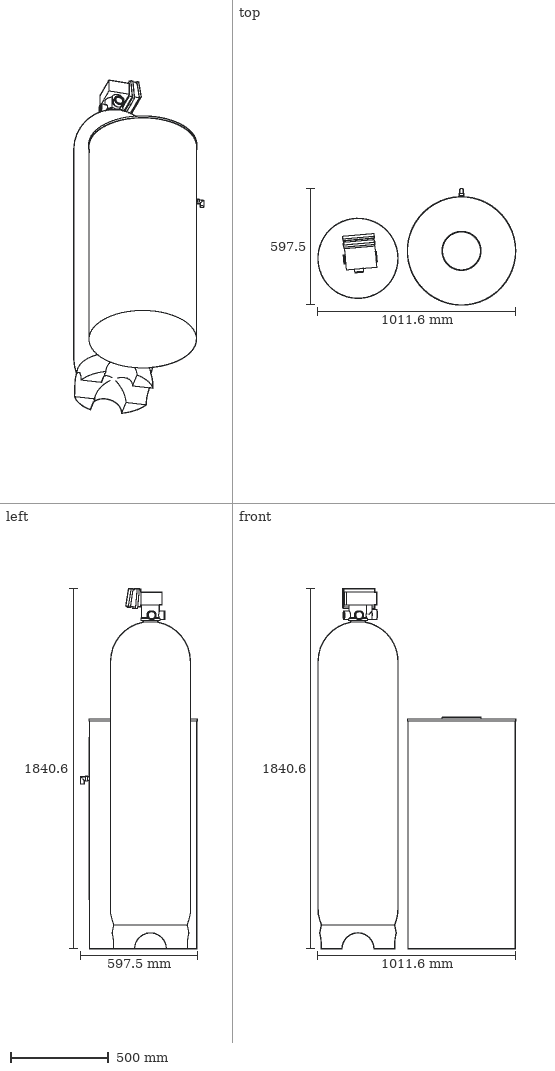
import cadquery as cq
import math

tank_radius = 410 / 2
shell_bottom = 205
shell_top = 1468
neck_radius = 76 / 2
skirt_top = 122
skirt_foot_radius = tank_radius
skirt_bulge = 3
arch_radius = 81

head_turn = 5
flange_radius = 99.24 / 2
flange_bottom = 1677
flange_thickness = 10
flange_cone_height = 7
column_radius = 92 / 2

port_level = 1705
port_radius = 45 / 2
port_bore_radius = 36 / 2
drain_port_reach = 73
left_port_reach = 74
right_port_reach = 97
union_radius = 52 / 2
union_bore_radius = 38 / 2
union_start = 71
union_level = port_level + union_radius - port_radius
port_bore_depth = 5
side_housing_offset = 50

box_center = 14
box_width = 156
box_front = -54
box_back = 55
box_bottom = 1757
box_top = 1823

display_center = 12
display_width = 162
display_inset = 3
display_bottom = 1738
display_top = 1840.63
bezel_thickness = 11
bezel_back_top = 63
bezel_back_bottom = 72
inner_foot_step = 9
inner_top_step = 3
inner_bottom = display_bottom + inner_foot_step
inner_top = display_top - inner_top_step
casing_flat_end = 88
casing_slope_end = 101
casing_slope_drop = 16
casing_foot = 110
cover_thickness = 10
cover_top_back = 95
cover_bottom_back = 109
cover_bottom = display_bottom + 7
cover_chamfer = 8

brine_x = 529.11
brine_y = 38
brine_radius = 550 / 2
lid_radius = 555 / 2
lid_bottom = 1164
lid_thickness = 11
cap_radius = 200 / 2
cap_height = 10
cap_chamfer = 3

pipe_radius = 20 / 2
elbow_level = 870
overall_depth = 597.5
elbow_reach = overall_depth - lid_radius - pipe_radius
elbow_outlet = 842
collar_radius = 25 / 2
collar_start = 283
collar_thickness = 10


def cylinder_between(start, direction, radius, length):
    """Solid round bar that starts at a point and runs along a direction."""
    return cq.Workplane(cq.Solid.makeCylinder(radius, length, cq.Vector(*start), cq.Vector(*direction)))


def slab_across_head(profile, center, width):
    """Prism across the head from a closed (depth, height) outline."""
    return (
        cq.Workplane("YZ", origin=(center, 0, 0))
        .polyline(profile)
        .close()
        .extrude(width / 2, both=True)
    )


def make_tank_shell():
    """Domed cylinder, neck and flared skirt as one turned shape."""
    neck_base = shell_top + math.sqrt(tank_radius**2 - neck_radius**2)
    dome_mid = tank_radius * math.sin(math.pi / 4)
    skirt_top_radius = math.sqrt(tank_radius**2 - (shell_bottom - skirt_top) ** 2)
    skirt_mid_radius = (skirt_foot_radius + skirt_top_radius) / 2 + skirt_bulge
    lower_dome_mid = (shell_bottom + skirt_top) / 2
    lower_dome_mid_radius = math.sqrt(tank_radius**2 - (shell_bottom - lower_dome_mid) ** 2)
    shell = (
        cq.Workplane("XZ")
        .moveTo(0, 0)
        .lineTo(skirt_foot_radius, 0)
        .threePointArc((skirt_mid_radius, skirt_top / 2), (skirt_top_radius, skirt_top))
        .threePointArc((lower_dome_mid_radius, lower_dome_mid), (tank_radius, shell_bottom))
        .lineTo(tank_radius, shell_top)
        .threePointArc((dome_mid, shell_top + dome_mid), (neck_radius, neck_base))
        .lineTo(neck_radius, flange_bottom)
        .lineTo(0, flange_bottom)
        .close()
        .revolve(360, (0, 0, 0), (0, 1, 0))
    )
    for plane in ("XZ", "YZ"):
        arch = cq.Workplane(plane).circle(arch_radius).extrude(2 * tank_radius, both=True)
        shell = shell.cut(arch)
    return shell


def make_valve_body():
    """Flanged column with three side ports and the housing over the right port."""
    flange_top = flange_bottom + flange_thickness
    column_base = flange_top + flange_cone_height
    body = (
        cq.Workplane("XZ")
        .moveTo(0, flange_bottom)
        .lineTo(flange_radius, flange_bottom)
        .lineTo(flange_radius, flange_top)
        .lineTo(column_radius, column_base)
        .lineTo(column_radius, box_bottom)
        .lineTo(0, box_bottom)
        .close()
        .revolve(360, (0, 0, 0), (0, 1, 0))
    )
    housing = cylinder_between(
        (side_housing_offset, 0, port_level), (0, 0, 1), port_radius, box_bottom - port_level
    )
    body = body.union(housing)

    axis_point = (0, 0, port_level)
    ports = [
        ((0, -1, 0), drain_port_reach, port_level, port_bore_radius),
        ((-1, 0, 0), left_port_reach, port_level, port_bore_radius),
        ((1, 0, 0), right_port_reach, union_level, union_bore_radius),
    ]
    for direction, reach, _, _ in ports:
        body = body.union(cylinder_between(axis_point, direction, port_radius, reach))
    union_end = cylinder_between(
        (union_start, 0, union_level), (1, 0, 0), union_radius, right_port_reach - union_start
    )
    body = body.union(union_end)
    for direction, reach, bore_level, bore_radius in ports:
        bore_floor = reach - port_bore_depth
        start = (direction[0] * bore_floor, direction[1] * bore_floor, bore_level)
        body = body.cut(cylinder_between(start, direction, bore_radius, port_bore_depth))
    return body


def make_control_box():
    profile = [
        (box_front, box_bottom),
        (box_back, box_bottom),
        (box_back, box_top),
        (box_front, box_top),
    ]
    return slab_across_head(profile, box_center, box_width)


def make_display():
    """Wedge-shaped back plate, leaning bezel, casing and front cover."""
    bezel_front_top = bezel_back_top + bezel_thickness
    bezel_front_bottom = bezel_back_bottom + bezel_thickness
    wedge = [
        (box_back, inner_bottom),
        (bezel_back_bottom, inner_bottom),
        (bezel_back_top, inner_top),
        (box_back, inner_top),
    ]
    bezel = [
        (bezel_back_bottom, display_bottom),
        (bezel_front_bottom, display_bottom),
        (bezel_front_top, display_top),
        (bezel_back_top, display_top),
    ]
    casing = [
        (bezel_back_bottom, inner_bottom),
        (casing_foot, inner_bottom),
        (casing_slope_end, display_top - casing_slope_drop),
        (casing_flat_end, inner_top),
        (bezel_back_top, inner_top),
    ]
    cover = [
        (cover_bottom_back, cover_bottom),
        (cover_bottom_back + cover_thickness - cover_chamfer, cover_bottom),
        (cover_bottom_back + cover_thickness, cover_bottom + cover_chamfer),
        (cover_top_back + cover_thickness, display_top),
        (cover_top_back, display_top),
    ]
    narrow_width = display_width - 2 * display_inset
    display = slab_across_head(wedge, display_center, narrow_width)
    display = display.union(slab_across_head(bezel, display_center, display_width))
    display = display.union(slab_across_head(casing, display_center, narrow_width))
    return display.union(slab_across_head(cover, display_center, display_width))


def make_pressure_tank():
    head = make_valve_body().union(make_control_box()).union(make_display())
    head = head.rotate((0, 0, 0), (0, 0, 1), head_turn)
    return make_tank_shell().union(head)


def make_overflow_elbow():
    """Collared pipe that leaves the tank wall and turns down in a mitred corner."""
    path = (
        cq.Workplane("YZ")
        .moveTo(0, elbow_level)
        .lineTo(elbow_reach, elbow_level)
        .lineTo(elbow_reach, elbow_outlet)
    )
    pipe = (
        cq.Workplane("XZ", origin=(0, 0, elbow_level))
        .circle(pipe_radius)
        .sweep(path, transition="right")
    )
    collar = cylinder_between((0, collar_start, elbow_level), (0, 1, 0), collar_radius, collar_thickness)
    return pipe.union(collar)


def make_brine_tank():
    barrel = cq.Workplane("XY").circle(brine_radius).extrude(lid_bottom)
    lid = cq.Workplane("XY", origin=(0, 0, lid_bottom)).circle(lid_radius).extrude(lid_thickness)
    cap = (
        cq.Workplane("XY", origin=(0, 0, lid_bottom + lid_thickness))
        .circle(cap_radius)
        .extrude(cap_height)
        .faces(">Z")
        .chamfer(cap_chamfer)
    )
    tank = barrel.union(lid).union(cap).union(make_overflow_elbow())
    return tank.translate((brine_x, brine_y, 0))


pressure_tank = make_pressure_tank()
brine_tank = make_brine_tank()
result = cq.Compound.makeCompound([pressure_tank.val(), brine_tank.val()])